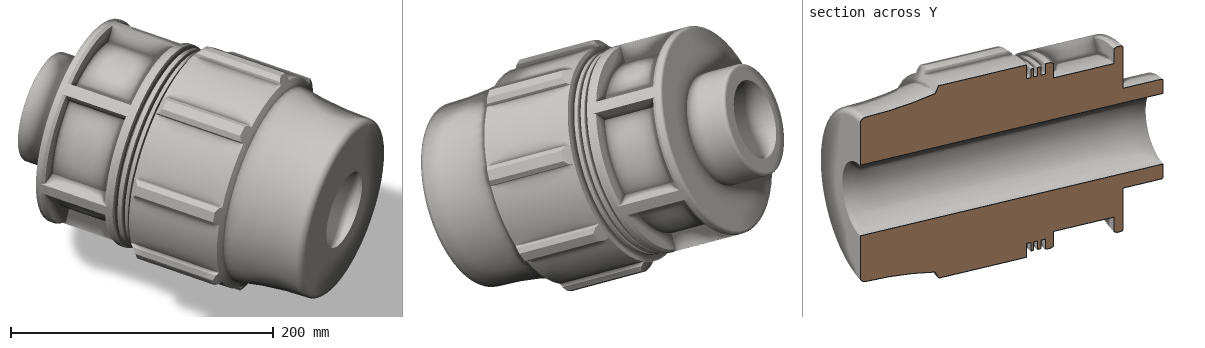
import cadquery as cq
import math

TOTAL_LENGTH = 256.0
BORE_RADIUS = 30.7

SPIGOT_RADIUS = 43.9
SPIGOT_FILLET = 2.3

BODY_START = 33.8
BODY_END = 99.8
BODY_RADIUS = 81.5
BODY_FILLET = 2.3
NECK_RADIUS = 72.5
RING_RADIUS = 80.0
RING_SPANS = [(103.2, 106.5), (109.3, 112.0)]

WINDOW_START = 41.7
WINDOW_END = 92.7
WINDOW_FLOOR_RADIUS = 67.3
WINDOW_BEVEL_LENGTH = 2.5
WINDOW_BEVEL_DEPTH = 1.3
BODY_RIB_COUNT = 6
BODY_RIB_WIDTH = 9.5

NUT_START = 115.2
NUT_END = 192.8
NUT_RADIUS = 84.5
NUT_END_RADIUS = 78.3
NUT_BEVEL_LENGTH = 3.0
GRIP_COUNT = 8
GRIP_HALF_WIDTH = 7.5
GRIP_TOP_RADIUS = 90.4
GRIP_CHAMFER = 3.3
GRIP_RAMP_LENGTH = 5.6

SLEEVE_RADIUS = 72.2
SLEEVE_FILLET = 4.9

OVERCUT = 2.5


def turned(points):
    """Solid of revolution about X from a closed outline of (x, radius) points."""
    return cq.Workplane("XY").polyline(points).close().revolve(360, (0, 0, 0), (1, 0, 0))


def cylinder(start, end, radius):
    """Solid cylinder on the X axis."""
    return cq.Workplane("YZ", origin=(start, 0, 0)).circle(radius).extrude(end - start)


def make_spigot():
    return cylinder(0, BODY_START + OVERCUT, SPIGOT_RADIUS).faces("<X").edges().fillet(SPIGOT_FILLET)


def make_window_band():
    """Ring-shaped cutter with bevelled mouth edges, interrupted at each body rib."""
    mouth_start = WINDOW_START - WINDOW_BEVEL_LENGTH
    mouth_end = WINDOW_END + WINDOW_BEVEL_LENGTH
    bevel_radius = BODY_RADIUS - WINDOW_BEVEL_DEPTH
    clear_radius = BODY_RADIUS + OVERCUT
    band = turned([
        (WINDOW_START, WINDOW_FLOOR_RADIUS),
        (WINDOW_START, bevel_radius),
        (mouth_start, BODY_RADIUS),
        (mouth_start, clear_radius),
        (mouth_end, clear_radius),
        (mouth_end, BODY_RADIUS),
        (WINDOW_END, bevel_radius),
        (WINDOW_END, WINDOW_FLOOR_RADIUS),
    ])
    for index in range(BODY_RIB_COUNT // 2):
        slab = cq.Workplane("XY").box(
            BODY_END - BODY_START, 2 * (clear_radius + OVERCUT), BODY_RIB_WIDTH
        )
        slab = slab.translate(((BODY_START + BODY_END) / 2, 0, 0))
        band = band.cut(slab.rotate((0, 0, 0), (1, 0, 0), index * 360 / BODY_RIB_COUNT))
    return band


def make_body():
    drum = cylinder(BODY_START, BODY_END, BODY_RADIUS).faces("<X").edges().fillet(BODY_FILLET)
    body = drum.cut(make_window_band())
    body = body.union(cylinder(BODY_END - OVERCUT, NUT_START + OVERCUT, NECK_RADIUS))
    for start, end in RING_SPANS:
        body = body.union(cylinder(start, end, RING_RADIUS))
    return body


def make_grip_rib(angle):
    """Grip rib with chamfered top edges, turned to the given angle about X."""
    shoulder_radius = GRIP_TOP_RADIUS - GRIP_CHAMFER
    top_half_width = GRIP_HALF_WIDTH - GRIP_CHAMFER
    root_radius = NUT_END_RADIUS - OVERCUT
    rib = (
        cq.Workplane("YZ", origin=(NUT_START, 0, 0))
        .polyline([
            (-GRIP_HALF_WIDTH, root_radius),
            (-GRIP_HALF_WIDTH, shoulder_radius),
            (-top_half_width, GRIP_TOP_RADIUS),
            (top_half_width, GRIP_TOP_RADIUS),
            (GRIP_HALF_WIDTH, shoulder_radius),
            (GRIP_HALF_WIDTH, root_radius),
        ])
        .close()
        .extrude(NUT_END - NUT_START)
    )
    ramp = (
        cq.Workplane("XZ")
        .polyline([
            (NUT_START, NUT_RADIUS),
            (NUT_START + GRIP_RAMP_LENGTH, GRIP_TOP_RADIUS),
            (NUT_START, GRIP_TOP_RADIUS),
        ])
        .close()
        .extrude(GRIP_HALF_WIDTH, both=True)
    )
    return rib.cut(ramp).rotate((0, 0, 0), (1, 0, 0), angle)


def make_nut():
    nut = cylinder(NUT_START, NUT_END, NUT_RADIUS)
    pitch = 360 / GRIP_COUNT
    for index in range(GRIP_COUNT):
        nut = nut.union(make_grip_rib((index + 0.5) * pitch))
    slope = (NUT_RADIUS - NUT_END_RADIUS) / NUT_BEVEL_LENGTH
    clear_radius = GRIP_TOP_RADIUS + OVERCUT
    bevel = turned([
        (NUT_END, NUT_END_RADIUS),
        (NUT_END, clear_radius),
        (NUT_END - (clear_radius - NUT_END_RADIUS) / slope, clear_radius),
    ])
    return nut.cut(bevel)


def make_sleeve():
    """Sleeve whose hollow-curved flank runs out level at the rear fillet."""
    flank_end = TOTAL_LENGTH - SLEEVE_FILLET
    length = flank_end - NUT_END
    drop = NUT_END_RADIUS - SLEEVE_RADIUS
    flank_radius = (length ** 2 + drop ** 2) / (2 * drop)
    middle = (
        NUT_END + length / 2,
        SLEEVE_RADIUS + flank_radius - math.sqrt(flank_radius ** 2 - (length / 2) ** 2),
    )
    return (
        cq.Workplane("XY")
        .moveTo(NUT_END - OVERCUT, 0)
        .lineTo(NUT_END - OVERCUT, NUT_END_RADIUS)
        .lineTo(NUT_END, NUT_END_RADIUS)
        .threePointArc(middle, (flank_end, SLEEVE_RADIUS))
        .radiusArc((TOTAL_LENGTH, SLEEVE_RADIUS - SLEEVE_FILLET), SLEEVE_FILLET)
        .lineTo(TOTAL_LENGTH, 0)
        .close()
        .revolve(360, (0, 0, 0), (1, 0, 0))
    )


result = make_spigot().union(make_body()).union(make_nut()).union(make_sleeve())
result = result.cut(cylinder(-OVERCUT, TOTAL_LENGTH + OVERCUT, BORE_RADIUS))